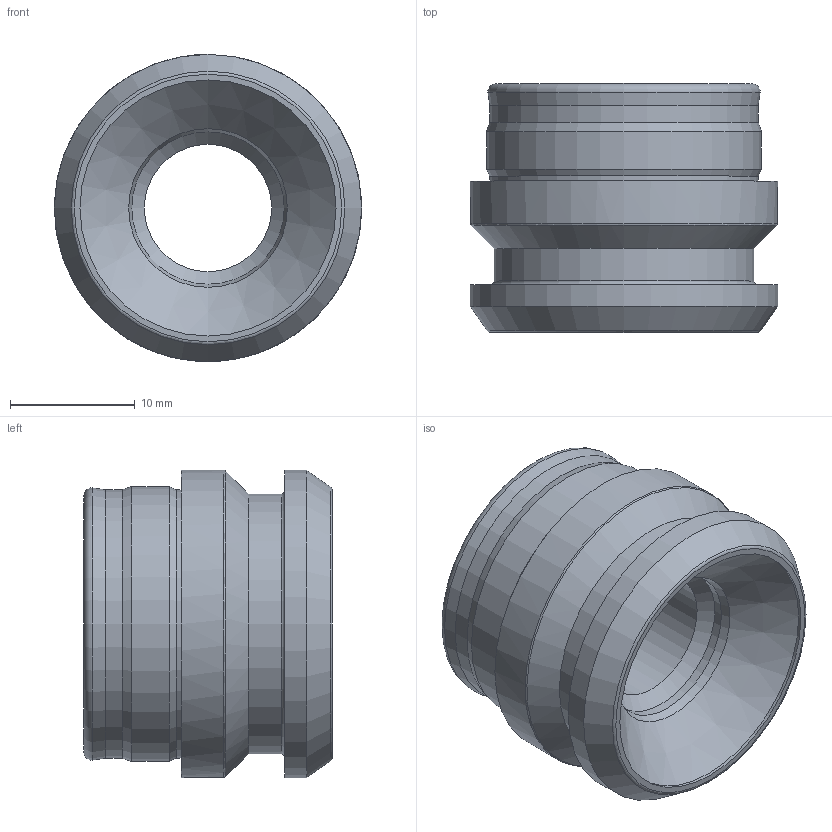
import cadquery as cq
import math

LENGTH = 19.9

COLLAR_RADIUS = 12.3
COLLAR_BACK = 3.8
COLLAR_TAPER_LENGTH = 2.05
COLLAR_TAPER_ANGLE = 35
NOSE_RADIUS = COLLAR_RADIUS - COLLAR_TAPER_LENGTH * math.tan(math.radians(COLLAR_TAPER_ANGLE))
NOSE_FILLET = 0.3

GROOVE_RADIUS = 10.4
GROOVE_FILLET = 0.3

FLANGE_FRONT = 8.6
FLANGE_BACK = 12.1
FLANGE_FILLET = 0.2
GROOVE_BACK = FLANGE_FRONT - (COLLAR_RADIUS - GROOVE_RADIUS)

RELIEF_RADIUS = 10.75
LAND_RADIUS = 11.0
FRONT_RELIEF_END = 12.5
LAND_START = 13.05
LAND_END = 16.05
REAR_RELIEF_START = 16.8
REAR_RELIEF_END = 18.15
LIP_RADIUS = 10.9
LIP_ROUND = 0.7

MOUTH_RADIUS = 10.25
RIM_DEPTH = 0.25
LEAD_IN_RADIUS = 6.35
LEAD_IN_LENGTH = 0.7
COUNTERBORE_RADIUS = 6.1
COUNTERBORE_LENGTH = 0.75
BORE_RADIUS = 5.1


def revolve_about_y(outline):
    """Turn a closed (y, radius) outline through a full circle about the Y axis."""
    return outline.revolve(360, (0, 0, 0), (1, 0, 0))


def outer_body():
    """Solid outer shape with its front edges still sharp."""
    lip_start = LENGTH - LIP_ROUND
    round_centre_radius = LIP_RADIUS - LIP_ROUND
    half_diagonal = LIP_ROUND * math.sqrt(0.5)
    round_middle = (lip_start + half_diagonal, round_centre_radius + half_diagonal)
    outline = (
        cq.Workplane("YZ")
        .moveTo(0, 0)
        .lineTo(0, NOSE_RADIUS)
        .lineTo(COLLAR_TAPER_LENGTH, COLLAR_RADIUS)
        .lineTo(COLLAR_BACK, COLLAR_RADIUS)
        .lineTo(COLLAR_BACK, GROOVE_RADIUS)
        .lineTo(GROOVE_BACK, GROOVE_RADIUS)
        .lineTo(FLANGE_FRONT, COLLAR_RADIUS)
        .lineTo(FLANGE_BACK, COLLAR_RADIUS)
        .lineTo(FLANGE_BACK, RELIEF_RADIUS)
        .lineTo(FRONT_RELIEF_END, RELIEF_RADIUS)
        .lineTo(LAND_START, LAND_RADIUS)
        .lineTo(LAND_END, LAND_RADIUS)
        .lineTo(REAR_RELIEF_START, RELIEF_RADIUS)
        .lineTo(REAR_RELIEF_END, RELIEF_RADIUS)
        .lineTo(lip_start, LIP_RADIUS)
        .threePointArc(round_middle, (LENGTH, round_centre_radius))
        .lineTo(LENGTH, 0)
        .close()
    )
    return revolve_about_y(outline)


def round_circle(body, y, radius, fillet):
    """Fillet the circular edge that lies at the given y with the given radius."""
    tolerance = 1e-4
    circle = body.edges("%CIRCLE").filter(
        lambda edge: math.isclose(edge.radius(), radius, abs_tol=tolerance)
        and math.isclose(edge.startPoint().y, y, abs_tol=tolerance)
    )
    return circle.fillet(fillet)


def bore_cutter():
    """Solid that removes the mouth, lead-in, counterbore, seat and through hole."""
    lead_in_start = RIM_DEPTH + MOUTH_RADIUS - LEAD_IN_RADIUS
    counterbore_start = lead_in_start + LEAD_IN_LENGTH
    seat_start = counterbore_start + COUNTERBORE_LENGTH
    seat_end = seat_start + COUNTERBORE_RADIUS - BORE_RADIUS
    outline = (
        cq.Workplane("YZ")
        .moveTo(0, 0)
        .lineTo(0, MOUTH_RADIUS)
        .lineTo(RIM_DEPTH, MOUTH_RADIUS)
        .lineTo(lead_in_start, LEAD_IN_RADIUS)
        .lineTo(counterbore_start, COUNTERBORE_RADIUS)
        .lineTo(seat_start, COUNTERBORE_RADIUS)
        .lineTo(seat_end, BORE_RADIUS)
        .lineTo(LENGTH, BORE_RADIUS)
        .lineTo(LENGTH, 0)
        .close()
    )
    return revolve_about_y(outline)


body = outer_body()
body = round_circle(body, 0, NOSE_RADIUS, NOSE_FILLET)
body = round_circle(body, COLLAR_BACK, GROOVE_RADIUS, GROOVE_FILLET)
body = round_circle(body, FLANGE_FRONT, COLLAR_RADIUS, FLANGE_FILLET)
result = body.cut(bore_cutter())